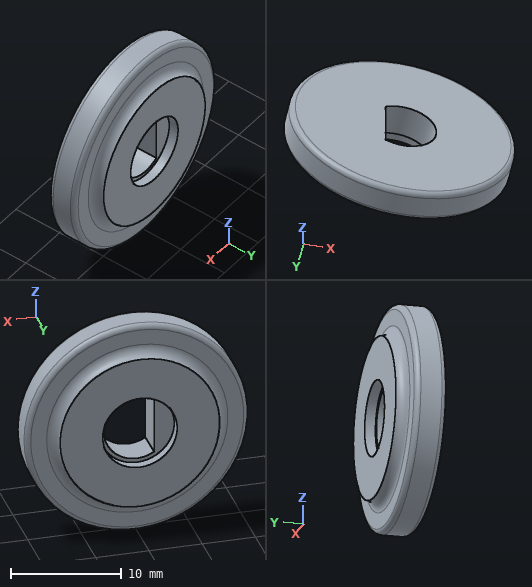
import cadquery as cq
import math

outer_diameter = 21.0
total_thickness = 4.0
boss_height = 1.0
disc_thickness = total_thickness - boss_height
edge_radius = 0.5

boss_diameter = 15.0
blend_radius = boss_height

hole_diameter = 6.2
flat_offset = 1.6
recess_diameter = 7.0
recess_depth = 1.0

half_thickness = total_thickness / 2
front_y = -half_thickness
back_y = half_thickness


def make_body():
    """Revolve the disc and boss half-section about the Y axis."""
    outer_radius = outer_diameter / 2
    boss_radius = boss_diameter / 2
    shoulder_y = front_y + disc_thickness
    face_radius = outer_radius - edge_radius
    diagonal = math.sqrt(0.5)
    edge_mid = edge_radius * (1 - diagonal)
    blend_mid = blend_radius * (1 - diagonal)
    return (
        cq.Workplane("XY")
        .moveTo(0, front_y)
        .lineTo(face_radius, front_y)
        .threePointArc(
            (outer_radius - edge_mid, front_y + edge_mid),
            (outer_radius, front_y + edge_radius),
        )
        .lineTo(outer_radius, shoulder_y - edge_radius)
        .threePointArc(
            (outer_radius - edge_mid, shoulder_y - edge_mid),
            (face_radius, shoulder_y),
        )
        .lineTo(boss_radius + blend_radius, shoulder_y)
        .threePointArc(
            (boss_radius + blend_mid, shoulder_y + blend_mid),
            (boss_radius, back_y),
        )
        .lineTo(0, back_y)
        .close()
        .revolve(360, (0, 0), (0, 1))
    )


def cylinder_from_back(diameter, depth):
    """Cylinder running from the back face toward -Y."""
    return (
        cq.Workplane("XZ", origin=(0, back_y, 0))
        .circle(diameter / 2)
        .extrude(depth)
    )


def make_shaft_hole():
    """Through cylinder with a flat on its -X side."""
    keep_beyond_flat = cq.Workplane("XY").box(
        hole_diameter, total_thickness, hole_diameter, centered=(False, True, True)
    ).translate((-flat_offset, 0, 0))
    return cylinder_from_back(hole_diameter, total_thickness).intersect(keep_beyond_flat)


recess = cylinder_from_back(recess_diameter, recess_depth)
result = make_body().cut(make_shaft_hole()).cut(recess)